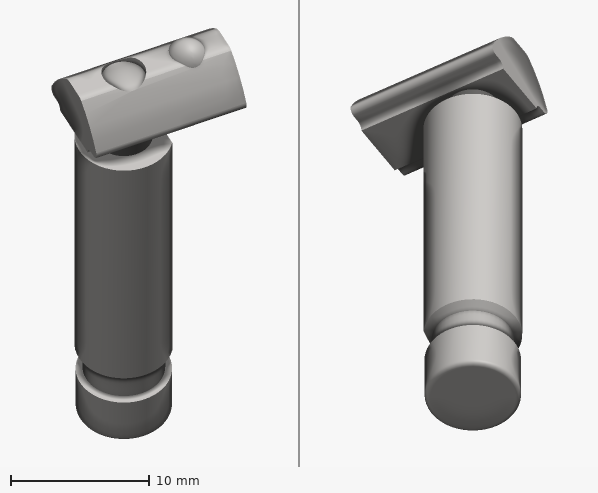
import cadquery as cq
import math

TOTAL_HEIGHT = 35.3

HEAD_DIAMETER = 7.0
HEAD_HEIGHT = 4.0
HEAD_FILLET = 0.4
SHANK_DIAMETER = 4.0
TIP_DIAMETER = 3.25
SCREW_LENGTH = 30.0

SLEEVE_DIAMETER = 7.15
SLEEVE_TOP = 28.02
SLEEVE_BORE = 4.2
SLEEVE_FLAT_OFFSET = 2.85
NECK_DIAMETER = 6.0
NECK_TOP = 6.0
NECK_CHAMFER = 0.18

NUT_LENGTH = 12.0
NUT_WIDTH = 7.7
NUT_BOTTOM = 30.15
NUT_TOP = 34.6
NUT_HOLE_TO_END = 4.0
KEEL_HALF_WIDTH = 2.33
KEEL_HEIGHT = 0.53
LIP_RADIUS = 0.5
LIP_ARC_END = 27.0
CREST_HALF_WIDTH = 0.7
SHOULDER_HALF_WIDTH = 1.25
SHOULDER_DROP = 0.15
BALL_RADIUS = 1.6
BALL_OFFSET = 5.05


def make_screw():
    head = cq.Workplane("XY").circle(HEAD_DIAMETER / 2).extrude(HEAD_HEIGHT)
    head = head.faces("<Z").edges().fillet(HEAD_FILLET)
    shank = (
        cq.Workplane("XY", origin=(0, 0, HEAD_HEIGHT))
        .circle(SHANK_DIAMETER / 2)
        .extrude(NUT_BOTTOM - HEAD_HEIGHT)
    )
    tip_length = HEAD_HEIGHT + SCREW_LENGTH - NUT_BOTTOM
    tip = (
        cq.Workplane("XY", origin=(0, 0, NUT_BOTTOM))
        .circle(TIP_DIAMETER / 2)
        .extrude(tip_length)
    )
    return head.union(shank).union(tip)


def make_sleeve():
    bore_radius = SLEEVE_BORE / 2
    neck_radius = NECK_DIAMETER / 2
    outer_radius = SLEEVE_DIAMETER / 2
    cone_height = outer_radius - neck_radius
    half_section = [
        (bore_radius, HEAD_HEIGHT),
        (neck_radius - NECK_CHAMFER, HEAD_HEIGHT),
        (neck_radius, HEAD_HEIGHT + NECK_CHAMFER),
        (neck_radius, NECK_TOP),
        (outer_radius, NECK_TOP + cone_height),
        (outer_radius, SLEEVE_TOP),
        (bore_radius, SLEEVE_TOP),
    ]
    sleeve = (
        cq.Workplane("XZ")
        .polyline(half_section)
        .close()
        .revolve(360, (0, 0, 0), (0, 1, 0))
    )
    beyond_flat = (
        cq.Workplane("XY", origin=(0, SLEEVE_FLAT_OFFSET, 0))
        .box(SLEEVE_DIAMETER, SLEEVE_DIAMETER, SLEEVE_TOP, centered=(True, False, False))
    )
    return sleeve.cut(beyond_flat)


def make_nut_bar():
    lip_bottom = NUT_BOTTOM + KEEL_HEIGHT
    lip_center_x = NUT_WIDTH / 2 - LIP_RADIUS
    lip_center_z = lip_bottom + LIP_RADIUS
    angle = math.radians(LIP_ARC_END)
    flank_start = (
        lip_center_x + LIP_RADIUS * math.cos(angle),
        lip_center_z + LIP_RADIUS * math.sin(angle),
    )
    shoulder_width = SHOULDER_HALF_WIDTH - CREST_HALF_WIDTH
    shoulder_radius = (shoulder_width**2 + SHOULDER_DROP**2) / (2 * SHOULDER_DROP)
    half_outline = (
        cq.Workplane("XZ", origin=(0, -NUT_HOLE_TO_END, 0))
        .moveTo(0, NUT_BOTTOM)
        .lineTo(KEEL_HALF_WIDTH, NUT_BOTTOM)
        .radiusArc((KEEL_HALF_WIDTH + KEEL_HEIGHT, lip_bottom), KEEL_HEIGHT)
        .lineTo(lip_center_x, lip_bottom)
        .tangentArcPoint(flank_start, relative=False)
        .tangentArcPoint((SHOULDER_HALF_WIDTH, NUT_TOP - SHOULDER_DROP), relative=False)
        .radiusArc((CREST_HALF_WIDTH, NUT_TOP), -shoulder_radius)
        .lineTo(0, NUT_TOP)
    )
    return half_outline.mirrorY().extrude(-NUT_LENGTH)


def make_nut():
    ball_center = (0, BALL_OFFSET, TOTAL_HEIGHT - BALL_RADIUS)
    ball = cq.Workplane("XY").sphere(BALL_RADIUS).translate(ball_center)
    screw_hole = (
        cq.Workplane("XY", origin=(0, 0, NUT_BOTTOM))
        .circle(TIP_DIAMETER / 2)
        .extrude(NUT_TOP - NUT_BOTTOM)
    )
    return make_nut_bar().union(ball).cut(screw_hole)


screw = make_screw().solids()
sleeve = make_sleeve().solids()
nut = make_nut().solids()

result = cq.Compound.makeCompound([screw.val(), sleeve.val(), nut.val()])